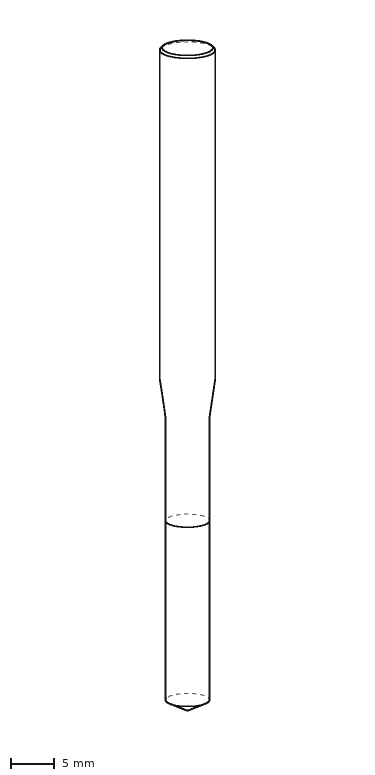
import cadquery as cq
import math

total_length = 79.0
top_z = total_length / 2
tip_z = -total_length / 2

shank_diameter = 6.3
shank_length = 39.5
shank_chamfer = 0.27
shoulder_length = 4.4
neck_diameter = 5.05
neck_length = 12.4

cutter_diameter = 5.05
point_angle = 125.0

shank_radius = shank_diameter / 2
neck_radius = neck_diameter / 2
cutter_radius = cutter_diameter / 2
shank_bottom_z = top_z - shank_length
neck_top_z = shank_bottom_z - shoulder_length
joint_z = neck_top_z - neck_length
point_length = cutter_radius / math.tan(math.radians(point_angle / 2))


def make_shank():
    """Revolve the chamfered shank with its shoulder and neck."""
    profile = (
        cq.Workplane("XZ")
        .moveTo(0, top_z)
        .lineTo(shank_radius - shank_chamfer, top_z)
        .lineTo(shank_radius, top_z - shank_chamfer)
        .lineTo(shank_radius, shank_bottom_z)
        .lineTo(neck_radius, neck_top_z)
        .lineTo(neck_radius, joint_z)
        .lineTo(0, joint_z)
        .close()
    )
    return profile.revolve(360, (0, 0), (0, 1))


def make_cutter():
    """Revolve the cutting cylinder with its conical point."""
    profile = (
        cq.Workplane("XZ")
        .moveTo(0, joint_z)
        .lineTo(cutter_radius, joint_z)
        .lineTo(cutter_radius, tip_z + point_length)
        .lineTo(0, tip_z)
        .close()
    )
    return profile.revolve(360, (0, 0), (0, 1))


shank = make_shank()
cutter = make_cutter()

result = cq.Compound.makeCompound([shank.val(), cutter.val()])